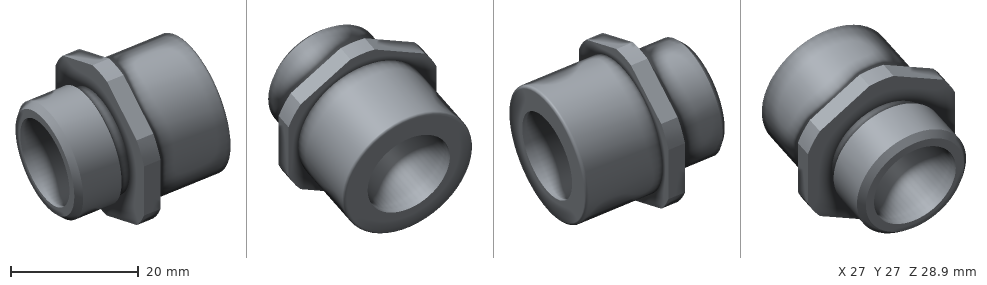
import cadquery as cq

total_length = 27.0
neck_end = 10.0
flange_thickness = 3.0
flange_end = neck_end + flange_thickness
thread_length = 8.49

bore_diameter = 15.0
thread_diameter = 20.0
neck_diameter = 18.15
body_diameter = 23.5

flange_across_flats = 27.0
flange_corner_diameter = 28.95

thread_tip_chamfer = 1.0
thread_back_chamfer_length = 0.5
thread_back_chamfer_depth = (thread_diameter - neck_diameter) / 2
body_edge_radius = 0.5


def cylinder(diameter, start, end):
    """Cylinder on the Y axis between two Y positions."""
    return cq.Workplane("XZ", origin=(0, end, 0)).circle(diameter / 2).extrude(end - start)


def make_thread():
    """Threaded end with a chamfered tip and a shorter chamfer down to the neck."""
    thread = cylinder(thread_diameter, 0, thread_length)
    thread = thread.faces("<Y").chamfer(thread_tip_chamfer)
    return thread.faces(">Y").chamfer(thread_back_chamfer_length, thread_back_chamfer_depth)


def make_flange():
    """Hexagon with flats facing +X and -X, its corners turned to a circle."""
    hexagon = (
        cq.Workplane("XZ", origin=(0, flange_end, 0))
        .polygon(6, flange_across_flats, circumscribed=True)
        .extrude(flange_thickness)
    )
    return hexagon.intersect(cylinder(flange_corner_diameter, neck_end, flange_end))


def make_body():
    """Plain cylindrical end with a rounded outer edge."""
    body = cylinder(body_diameter, flange_end, total_length)
    return body.faces(">Y").edges().fillet(body_edge_radius)


neck = cylinder(neck_diameter, thread_length, neck_end)
bore = cylinder(bore_diameter, 0, total_length)
result = make_thread().union(neck).union(make_flange()).union(make_body()).cut(bore)